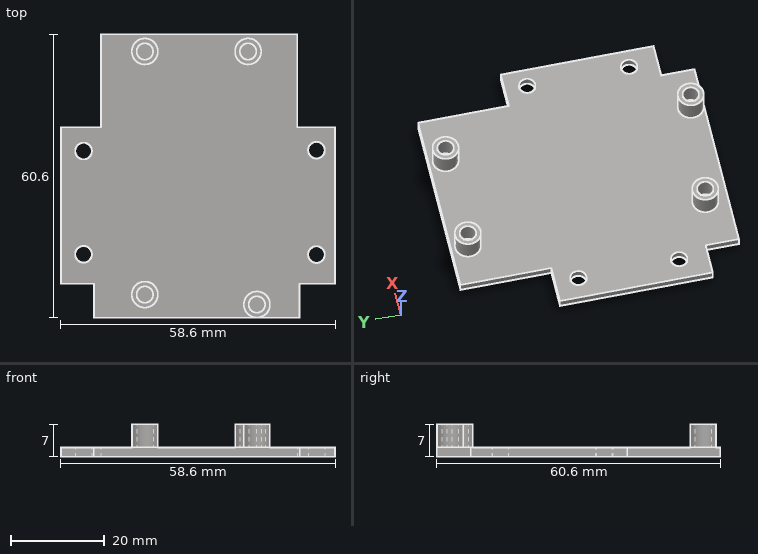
import cadquery as cq

plate_width = 58.6
plate_length = 60.6
plate_thickness = 2.0

band_front = 7.3
band_back = 40.75

front_tab_left = 7.05
front_tab_width = 44.0
back_tab_left = 8.55
back_tab_width = 42.0

total_height = 7.0
standoff_height = total_height - plate_thickness
standoff_diameter = 5.6
hole_diameter = 3.5

standoff_centers = [
    (17.95, 56.9),
    (40.0, 56.9),
    (17.95, 5.0),
    (41.9, 2.85),
]
mounting_hole_centers = [(4.85, 35.65), (4.85, 13.6), (54.6, 35.8), (54.6, 13.5)]


def slab(left, front, width, length):
    """Rectangular piece of the plate, resting on Z = 0."""
    block = cq.Workplane("XY").box(width, length, plate_thickness, centered=False)
    return block.translate((left, front, 0))


def cylinders(centers, diameter, bottom, height):
    """Upright cylinders of one size at the given centers."""
    plane = cq.Workplane("XY").workplane(offset=bottom)
    return plane.pushPoints(centers).circle(diameter / 2).extrude(height)


band = slab(0, band_front, plate_width, band_back - band_front)
front_tab = slab(front_tab_left, 0, front_tab_width, band_front)
back_tab = slab(back_tab_left, band_back, back_tab_width, plate_length - band_back)
plate = band.union(front_tab).union(back_tab).clean()

plate = plate.cut(cylinders(mounting_hole_centers, hole_diameter, 0, plate_thickness))

posts = cylinders(standoff_centers, standoff_diameter, plate_thickness, standoff_height)
bores = cylinders(standoff_centers, hole_diameter, plate_thickness, standoff_height)

result = plate.union(posts.cut(bores))